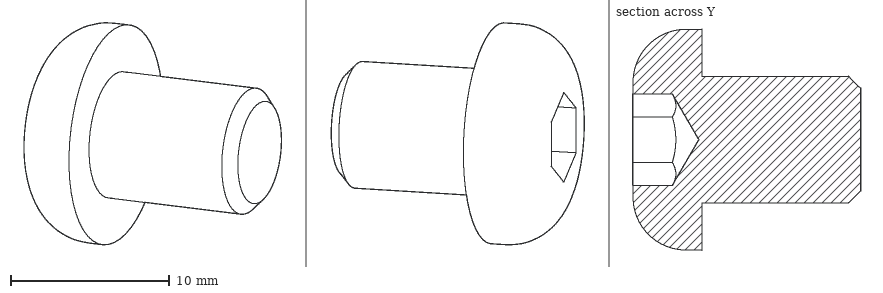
import cadquery as cq
import math

total_length = 14.4
head_diameter = 14.0
head_height = 4.38
dome_radius = 3.37
shank_diameter = 8.04
tip_chamfer = 0.76
hex_across_flats = 4.98
hex_depth = 2.5
drill_point_angle = 120.0

hex_across_corners = hex_across_flats / math.cos(math.radians(30))
hex_corner_radius = hex_across_corners / 2
drill_point_depth = hex_corner_radius / math.tan(math.radians(drill_point_angle / 2))


def make_body():
    """Revolve the head and shank profile about the X axis."""
    head_radius = head_diameter / 2
    shank_radius = shank_diameter / 2
    face_radius = head_radius - dome_radius
    arc_middle = (
        dome_radius * (1 - math.cos(math.radians(45))),
        face_radius + dome_radius * math.sin(math.radians(45)),
    )
    profile = (
        cq.Workplane("XY")
        .lineTo(0, face_radius)
        .threePointArc(arc_middle, (dome_radius, head_radius))
        .lineTo(head_height, head_radius)
        .lineTo(head_height, shank_radius)
        .lineTo(total_length - tip_chamfer, shank_radius)
        .lineTo(total_length, shank_radius - tip_chamfer)
        .lineTo(total_length, 0)
        .close()
    )
    return profile.revolve(360, (0, 0, 0), (1, 0, 0))


def hexagonal_prism(depth):
    """Hexagon with corners toward +Z and -Z, extruded inward from the head face."""
    return (
        cq.Workplane("YZ")
        .transformed(rotate=(0, 0, 90))
        .polygon(6, hex_across_corners)
        .extrude(depth)
    )


def make_socket():
    """Hexagonal socket with a conical bottom reaching out to its corners."""
    drill_point = (
        cq.Workplane("XY")
        .moveTo(0, 0)
        .lineTo(0, hex_corner_radius)
        .lineTo(hex_depth, hex_corner_radius)
        .lineTo(hex_depth + drill_point_depth, 0)
        .close()
        .revolve(360, (0, 0, 0), (1, 0, 0))
    )
    return hexagonal_prism(hex_depth + drill_point_depth).intersect(drill_point)


result = make_body().cut(make_socket())